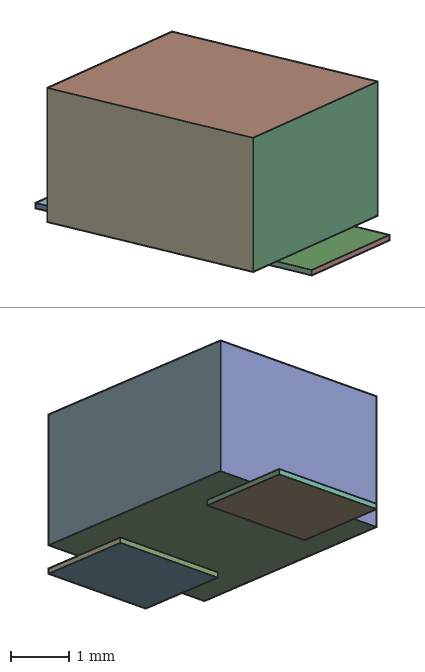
import cadquery as cq

overall_length = 5.88
overall_height = 2.54

terminal_length = 1.835
terminal_width = 2.26
terminal_thickness = 0.1

housing_length = 4.38
housing_width = 3.62
housing_height = overall_height - terminal_thickness


def make_housing():
    """Block whose underside is level with the top of the terminals."""
    return (
        cq.Workplane("XY")
        .workplane(offset=terminal_thickness)
        .box(housing_length, housing_width, housing_height, centered=(True, True, False))
    )


def make_terminal(side):
    """Flat plate with its outer edge at the -X (side = -1) or +X (side = 1) end."""
    center_x = side * (overall_length - terminal_length) / 2
    return (
        cq.Workplane("XY")
        .center(center_x, 0)
        .box(terminal_length, terminal_width, terminal_thickness, centered=(True, True, False))
    )


housing = make_housing()
terminals = [make_terminal(side) for side in (-1, 1)]

result = cq.Compound.makeCompound([housing.val(), *(terminal.val() for terminal in terminals)])